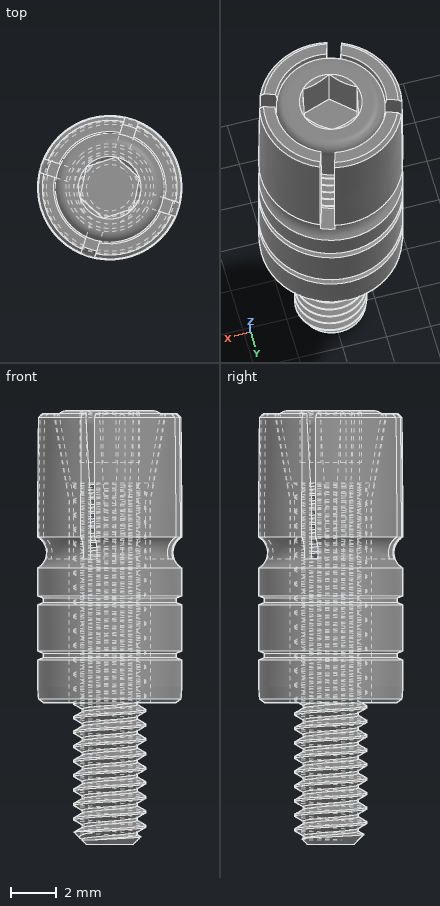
import cadquery as cq
import math

TOTAL_HEIGHT = 19.05

BODY_DIAMETER = 6.35
BODY_RADIUS = BODY_DIAMETER / 2
TAPER_DEPTH = 0.04
TAPERED_RADIUS = BODY_RADIUS - TAPER_DEPTH
COLLET_BOTTOM = 6.23
COLLET_TOP = 18.92
BOTTOM_CHAMFER_HEIGHT = 0.17
BOTTOM_CHAMFER_WIDTH = 0.23
BOTTOM_TAPER_HEIGHT = 0.51
TOP_CHAMFER = 0.17
TOP_TAPER_START = 14.57

NECK_CENTRE = 12.82
NECK_HALF_HEIGHT = 0.69
NECK_RADIUS = 2.78

GROOVE_CENTRES = (8.3, 10.73)
GROOVE_WIDTH = 0.4
GROOVE_FLOOR_WIDTH = 0.2
GROOVE_DEPTH = 0.25

SLOT_COUNT = 4
SLOT_WIDTH = 0.63
SLOT_FLOOR = 12.53
FIRST_SLOT_ANGLE = 45.0
COLLET_TURN = 27.0

CONE_HALF_ANGLE = 10.0
HEAD_TOP_RADIUS = 1.89
HEAD_ROUNDING = 0.505
HEAD_BOTTOM = 15.87
BORE_RADIUS = 1.8

SOCKET_ACROSS_FLATS = 2.38
SOCKET_DEPTH = 2.29
SOCKET_SIDES = 6
SOCKET_TURN = 18.0

THREAD_RADIUS = 1.59
ROOT_RADIUS = 1.22
THREAD_PITCH = 1.9 / 3
CREST_WIDTH = 0.08
FLANK_ANGLE = 30.0
FIRST_CREST_HEIGHT = 0.177
TIP_CHAMFER = 0.57

THREAD_TURNS = 27
SHANK_OVERSHOOT = 1.9
CUTTER_OVERSHOOT = 0.04

cone_angle = math.radians(CONE_HALF_ANGLE)
cone_slope = math.tan(cone_angle)
rounding_centre = TOTAL_HEIGHT - HEAD_ROUNDING
tangent_radius = HEAD_TOP_RADIUS + HEAD_ROUNDING * math.cos(cone_angle)
tangent_height = rounding_centre - HEAD_ROUNDING * math.sin(cone_angle)


def cone_radius(height):
    return tangent_radius + (height - tangent_height) * cone_slope


def revolve_about_z(profile):
    return profile.close().revolve(360, (0, 0, 0), (0, 1, 0))


def make_collet_blank():
    """Collet body with its round neck, tapers and end chamfers, bored to suit the screw."""
    taper_bottom = COLLET_BOTTOM + BOTTOM_CHAMFER_HEIGHT
    bore_top = tangent_height - (tangent_radius - BORE_RADIUS) / cone_slope
    profile = (
        cq.Workplane("XZ")
        .moveTo(BORE_RADIUS, COLLET_BOTTOM)
        .lineTo(TAPERED_RADIUS - BOTTOM_CHAMFER_WIDTH, COLLET_BOTTOM)
        .lineTo(TAPERED_RADIUS, taper_bottom)
        .lineTo(BODY_RADIUS, taper_bottom + BOTTOM_TAPER_HEIGHT)
        .lineTo(BODY_RADIUS, NECK_CENTRE - NECK_HALF_HEIGHT)
        .threePointArc((NECK_RADIUS, NECK_CENTRE), (BODY_RADIUS, NECK_CENTRE + NECK_HALF_HEIGHT))
        .lineTo(BODY_RADIUS, TOP_TAPER_START)
        .lineTo(TAPERED_RADIUS, COLLET_TOP - TOP_CHAMFER)
        .lineTo(TAPERED_RADIUS - TOP_CHAMFER, COLLET_TOP)
        .lineTo(cone_radius(COLLET_TOP), COLLET_TOP)
        .lineTo(BORE_RADIUS, bore_top)
    )
    return revolve_about_z(profile)


def make_groove_cutter(centre):
    floor_radius = BODY_RADIUS - GROOVE_DEPTH
    rim_radius = BODY_RADIUS + GROOVE_DEPTH
    half_floor = GROOVE_FLOOR_WIDTH / 2
    half_rim = GROOVE_WIDTH - half_floor
    profile = (
        cq.Workplane("XZ")
        .moveTo(floor_radius, centre - half_floor)
        .lineTo(rim_radius, centre - half_rim)
        .lineTo(rim_radius, centre + half_rim)
        .lineTo(floor_radius, centre + half_floor)
    )
    return revolve_about_z(profile)


def make_slot_cutter(index):
    slot_length = 2 * BODY_RADIUS
    slot_height = TOTAL_HEIGHT - SLOT_FLOOR
    angle = FIRST_SLOT_ANGLE + index * 360 / SLOT_COUNT
    return (
        cq.Workplane("XY", origin=(0, 0, SLOT_FLOOR))
        .center(slot_length / 2, 0)
        .rect(slot_length, SLOT_WIDTH)
        .extrude(slot_height)
        .rotate((0, 0, 0), (0, 0, 1), angle)
    )


def make_collet():
    collet = make_collet_blank()
    for centre in GROOVE_CENTRES:
        collet = collet.cut(make_groove_cutter(centre))
    for index in range(SLOT_COUNT):
        collet = collet.cut(make_slot_cutter(index))
    return collet.rotate((0, 0, 0), (0, 0, 1), COLLET_TURN)


def make_thread_cutter():
    """Helical groove standing proud of the shank, from below the tip to inside the head."""
    start = FIRST_CREST_HEIGHT - 1.5 * THREAD_PITCH
    helix = cq.Wire.makeHelix(THREAD_PITCH, THREAD_TURNS * THREAD_PITCH, ROOT_RADIUS, cq.Vector(0, 0, start))
    flank_slope = math.tan(math.radians(FLANK_ANGLE))
    outer_radius = THREAD_RADIUS + CUTTER_OVERSHOOT
    half_rim = (THREAD_PITCH - CREST_WIDTH) / 2 + CUTTER_OVERSHOOT * flank_slope
    half_root = half_rim - (outer_radius - ROOT_RADIUS) * flank_slope
    return (
        cq.Workplane("XZ")
        .moveTo(ROOT_RADIUS, start - half_root)
        .lineTo(outer_radius, start - half_rim)
        .lineTo(outer_radius, start + half_rim)
        .lineTo(ROOT_RADIUS, start + half_root)
        .close()
        .sweep(cq.Workplane(obj=helix), isFrenet=True)
    )


def make_tip_cutter():
    """Everything below z = 0 and outside the 45 degree tip chamfer."""
    tip_radius = THREAD_RADIUS - TIP_CHAMFER
    outer_radius = 2 * THREAD_RADIUS
    profile = (
        cq.Workplane("XZ")
        .moveTo(0, 0)
        .lineTo(tip_radius, 0)
        .lineTo(outer_radius, outer_radius - tip_radius)
        .lineTo(outer_radius, -2 * SHANK_OVERSHOOT)
        .lineTo(0, -2 * SHANK_OVERSHOOT)
    )
    return revolve_about_z(profile)


def make_shank():
    """Right-handed threaded shank with a chamfered tip, reaching up into the head."""
    rod = (
        cq.Workplane("XY", origin=(0, 0, -SHANK_OVERSHOOT))
        .circle(THREAD_RADIUS)
        .extrude(HEAD_BOTTOM + 2 * SHANK_OVERSHOOT)
    )
    return rod.cut(make_thread_cutter()).cut(make_tip_cutter())


def make_head():
    """Conical head with a rounded top edge."""
    middle_angle = (math.pi / 2 - cone_angle) / 2
    arc_middle = (
        HEAD_TOP_RADIUS + HEAD_ROUNDING * math.cos(middle_angle),
        rounding_centre + HEAD_ROUNDING * math.sin(middle_angle),
    )
    profile = (
        cq.Workplane("XZ")
        .moveTo(0, HEAD_BOTTOM)
        .lineTo(cone_radius(HEAD_BOTTOM), HEAD_BOTTOM)
        .lineTo(tangent_radius, tangent_height)
        .threePointArc(arc_middle, (HEAD_TOP_RADIUS, TOTAL_HEIGHT))
        .lineTo(0, TOTAL_HEIGHT)
    )
    return revolve_about_z(profile)


def make_socket_cutter():
    """Hexagon socket with a 45 degree lead-in as wide as its corners."""
    corner_radius = SOCKET_ACROSS_FLATS / 2 / math.cos(math.pi / SOCKET_SIDES)
    hexagon = (
        cq.Workplane("XY", origin=(0, 0, TOTAL_HEIGHT))
        .polygon(SOCKET_SIDES, 2 * corner_radius)
        .extrude(-SOCKET_DEPTH)
        .rotate((0, 0, 0), (0, 0, 1), SOCKET_TURN)
    )
    lead_in = revolve_about_z(
        cq.Workplane("XZ")
        .moveTo(0, TOTAL_HEIGHT)
        .lineTo(corner_radius, TOTAL_HEIGHT)
        .lineTo(0, TOTAL_HEIGHT - corner_radius)
    )
    return hexagon.union(lead_in)


def make_screw():
    """Screw in one piece: head and threaded shank, with the socket cut from the top."""
    return make_head().union(make_shank()).cut(make_socket_cutter())


collet = make_collet()
screw = make_screw()
result = cq.Compound.makeCompound([collet.val(), screw.val()])